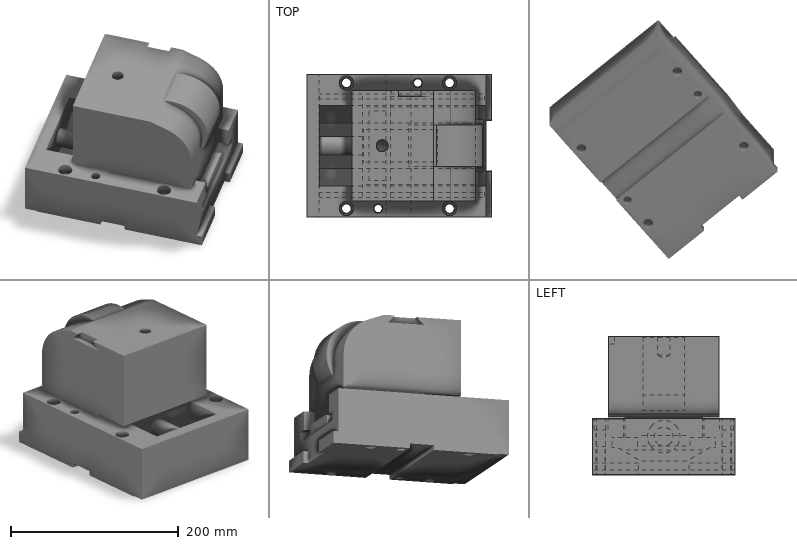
import cadquery as cq
import math


BASE_X = 213.5
BASE_Y = 170.0
BASE_TOP = 67.0
LIP_END = 220.0
LIP_TOP = 14.3
LIP_GAP = 60.3
RELIEF_X = 14.7
RELIEF_Z = 0.9
KEYWAY_X = 94.0
KEYWAY_WIDTH = 30.0
KEYWAY_DEPTH = 5.7

HOLE_ROW_Y = 74.8
SCREW_X = (47.0, 169.8)
SCREW_DIAMETER = 11.5
SCREW_HEAD_DIAMETER = 17.0
SCREW_HEAD_DEPTH = 13.2
DOWEL_PLACES = ((85.0, -HOLE_ROW_Y), (132.0, HOLE_ROW_Y))
DOWEL_DIAMETER = 10.0
DOWEL_RELIEF_DIAMETER = 11.0
DOWEL_RELIEF_DEPTH = 33.0

GUIDE_ANGLE = math.radians(30)
SLOT_START = 15.0
MOUTH_HALF = 47.7
UNDERCUT_HALF = 61.5
UNDERCUT_TOP = 44.5
LEDGE_Z = 33.0
LEDGE_INNER_Y = 55.5
FLOOR_HALF = 26.8
FLOOR_Z = LEDGE_Z - (LEDGE_INNER_Y - FLOOR_HALF) * math.tan(GUIDE_ANGLE)

BLOCK_START = 54.0
BLOCK_END = 200.9
BLOCK_WIDTH = 132.0
BLOCK_TOP = 165.0
RIDGE_X = 150.5
ROOF_ANGLE = math.radians(20)
NOSE_RADIUS = 45.0
LIFT_HOLE_X = 89.8
LIFT_HOLE_DIAMETER = 14.3
LIFT_HOLE_DEPTH = 22.0
DRILL_TIP_ANGLE = math.radians(118)
NOTCH_X = 122.8
NOTCH_MOUTH = 26.8
NOTCH_HEIGHT = 8.8
NOTCH_DEPTH = 7.3
NOTCH_FLARE_ANGLE = math.radians(45)

SLIDE_START = 66.5
SLIDE_HALF = 46.2
SLIDE_TOP = 68.9
KEY_START = 74.0
KEY_END = 99.7
KEY_WIDTH = 82.3
KEY_TOP = 72.8
BEVEL_START = 204.8
BEVEL_ANGLE = math.radians(60)
TONGUE_END = 210.5
TONGUE_FOOT_HALF = 31.0
TONGUE_CREST_HALF = 26.2
TONGUE_RISE = (TONGUE_FOOT_HALF - TONGUE_CREST_HALF) * math.tan(GUIDE_ANGLE)

ROLLER_RADIUS = 44.0
ROLLER_WIDTH = 50.0
ROLLER_X = 165.0
ROLLER_Z = BLOCK_TOP - ROLLER_RADIUS

SPRING_Z = 45.8
SPRING_BODY_RADIUS = 19.4
SPRING_BODY_LENGTH = 88.0
SPRING_RECESS = 1.0
SPRING_BODY_START = SLIDE_START + SPRING_RECESS
SPRING_BODY_END = SPRING_BODY_START + SPRING_BODY_LENGTH
ROD_RADIUS = 11.2
ROD_TIP_X = 15.5
ROD_TIP_FILLET = 2.2


def wide_box(x0, x1, width, z0, z1):
    """Box centred on Y = 0."""
    bar = cq.Workplane("XY").box(x1 - x0, width, z1 - z0, centered=(False, True, False))
    return bar.translate((x0, 0, z0))


def mirrored_prism(half_profile, x0, x1):
    """Prism along X whose (y, z) outline is a half outline plus its mirror image in Y."""
    mirrored = [(-y, z) for y, z in reversed(half_profile)]
    return cq.Workplane("YZ").polyline(half_profile + mirrored).close().extrude(x1 - x0).translate((x0, 0, 0))


def vertical_cylinder(x, y, diameter, z0, z1):
    return cq.Workplane("XY", origin=(x, y, z0)).circle(diameter / 2).extrude(z1 - z0)


def cylinder_along_x(radius, x0, x1):
    """Cylinder on the gas spring axis."""
    return cq.Workplane("YZ", origin=(x0, 0, SPRING_Z)).circle(radius).extrude(x1 - x0)


def guide_profile(neck_half, top):
    """Half outline of the guide section, from the floor up to a neck of the given half width."""
    return [
        (FLOOR_HALF, FLOOR_Z),
        (LEDGE_INNER_Y, LEDGE_Z),
        (UNDERCUT_HALF, LEDGE_Z),
        (UNDERCUT_HALF, UNDERCUT_TOP),
        (neck_half, UNDERCUT_TOP),
        (neck_half, top),
    ]


def make_base():
    body = wide_box(0, BASE_X, BASE_Y, 0, BASE_TOP)

    lip = wide_box(BASE_X, LIP_END, BASE_Y, 0, LIP_TOP)
    body = body.union(lip.cut(wide_box(BASE_X, LIP_END, LIP_GAP, 0, LIP_TOP)))

    body = body.cut(wide_box(0, RELIEF_X, BASE_Y, 0, RELIEF_Z))
    body = body.cut(wide_box(KEYWAY_X, KEYWAY_X + KEYWAY_WIDTH, BASE_Y, 0, KEYWAY_DEPTH))

    body = body.cut(mirrored_prism(guide_profile(MOUTH_HALF, BASE_TOP), SLOT_START, BASE_X))

    for x in SCREW_X:
        for y in (-HOLE_ROW_Y, HOLE_ROW_Y):
            body = body.cut(vertical_cylinder(x, y, SCREW_DIAMETER, 0, BASE_TOP))
            head_floor = BASE_TOP - SCREW_HEAD_DEPTH
            body = body.cut(vertical_cylinder(x, y, SCREW_HEAD_DIAMETER, head_floor, BASE_TOP))

    for x, y in DOWEL_PLACES:
        body = body.cut(vertical_cylinder(x, y, DOWEL_DIAMETER, 0, BASE_TOP))
        relief_floor = BASE_TOP - DOWEL_RELIEF_DEPTH
        body = body.cut(vertical_cylinder(x, y, DOWEL_RELIEF_DIAMETER, relief_floor, BASE_TOP))
    return body


def make_slide():
    body = mirrored_prism(guide_profile(SLIDE_HALF, SLIDE_TOP), SLIDE_START, BASE_X)
    body = body.cut(wide_box(BLOCK_END, BASE_X, 2 * SLIDE_HALF, UNDERCUT_TOP, SLIDE_TOP))

    bevel_end_z = UNDERCUT_TOP - (BASE_X - BEVEL_START) * math.tan(BEVEL_ANGLE)
    bevel = (
        cq.Workplane("XZ")
        .moveTo(BEVEL_START, UNDERCUT_TOP)
        .lineTo(BASE_X, UNDERCUT_TOP)
        .lineTo(BASE_X, bevel_end_z)
        .close()
        .extrude(UNDERCUT_HALF, both=True)
    )
    body = body.cut(bevel)

    tongue_profile = [
        (TONGUE_FOOT_HALF, bevel_end_z),
        (TONGUE_FOOT_HALF, UNDERCUT_TOP),
        (TONGUE_CREST_HALF, UNDERCUT_TOP + TONGUE_RISE),
    ]
    body = body.union(mirrored_prism(tongue_profile, BLOCK_END, TONGUE_END))

    body = body.union(wide_box(KEY_START, KEY_END, KEY_WIDTH, SLIDE_TOP, KEY_TOP))

    bore = cylinder_along_x(SPRING_BODY_RADIUS, SLIDE_START, SPRING_BODY_END)
    return body.cut(bore)


def make_roller():
    end_face = cq.Workplane("XZ", origin=(ROLLER_X, ROLLER_WIDTH / 2, ROLLER_Z))
    return end_face.circle(ROLLER_RADIUS).extrude(ROLLER_WIDTH)


def make_block():
    nose_x = BLOCK_END - NOSE_RADIUS
    arc_start_x = nose_x + NOSE_RADIUS * math.sin(ROOF_ANGLE)
    arc_start_z = BLOCK_TOP - (arc_start_x - RIDGE_X) * math.tan(ROOF_ANGLE)
    nose_z = arc_start_z - NOSE_RADIUS * math.cos(ROOF_ANGLE)
    arc_middle_angle = (math.pi / 2 - ROOF_ANGLE) / 2
    arc_middle = (
        nose_x + NOSE_RADIUS * math.cos(arc_middle_angle),
        nose_z + NOSE_RADIUS * math.sin(arc_middle_angle),
    )
    body = (
        cq.Workplane("XZ")
        .moveTo(BLOCK_START, KEY_TOP)
        .lineTo(BLOCK_START, BLOCK_TOP)
        .lineTo(RIDGE_X, BLOCK_TOP)
        .lineTo(arc_start_x, arc_start_z)
        .threePointArc(arc_middle, (BLOCK_END, nose_z))
        .lineTo(BLOCK_END, SLIDE_TOP)
        .lineTo(KEY_END, SLIDE_TOP)
        .lineTo(KEY_END, KEY_TOP)
        .close()
        .extrude(BLOCK_WIDTH / 2, both=True)
    )

    hole_radius = LIFT_HOLE_DIAMETER / 2
    tip_depth = LIFT_HOLE_DEPTH + hole_radius / math.tan(DRILL_TIP_ANGLE / 2)
    lift_hole = (
        cq.Workplane("XZ")
        .polyline([(0, 0), (hole_radius, 0), (hole_radius, -LIFT_HOLE_DEPTH), (0, -tip_depth)])
        .close()
        .revolve(360, (0, 0), (0, 1))
        .translate((LIFT_HOLE_X, 0, BLOCK_TOP))
    )
    body = body.cut(lift_hole)

    mouth_half = NOTCH_MOUTH / 2
    floor_half = mouth_half + NOTCH_HEIGHT * math.tan(NOTCH_FLARE_ANGLE)
    notch = (
        cq.Workplane("XZ", origin=(NOTCH_X, BLOCK_WIDTH / 2, BLOCK_TOP))
        .moveTo(-mouth_half, 0)
        .lineTo(mouth_half, 0)
        .lineTo(floor_half, -NOTCH_HEIGHT)
        .lineTo(-floor_half, -NOTCH_HEIGHT)
        .close()
        .extrude(NOTCH_DEPTH)
    )
    body = body.cut(notch)

    return body.cut(make_roller())


def make_gas_spring():
    rod = cylinder_along_x(ROD_RADIUS, ROD_TIP_X, SPRING_BODY_START)
    rod = rod.faces("<X").edges().fillet(ROD_TIP_FILLET)
    cylinder = cylinder_along_x(SPRING_BODY_RADIUS, SPRING_BODY_START, SPRING_BODY_END)
    return rod.union(cylinder)


base = make_base()
slide = make_slide()
block = make_block()
roller = make_roller()
gas_spring = make_gas_spring()

result = cq.Compound.makeCompound(
    [body.solids().val() for body in (base, slide, block, roller, gas_spring)]
)